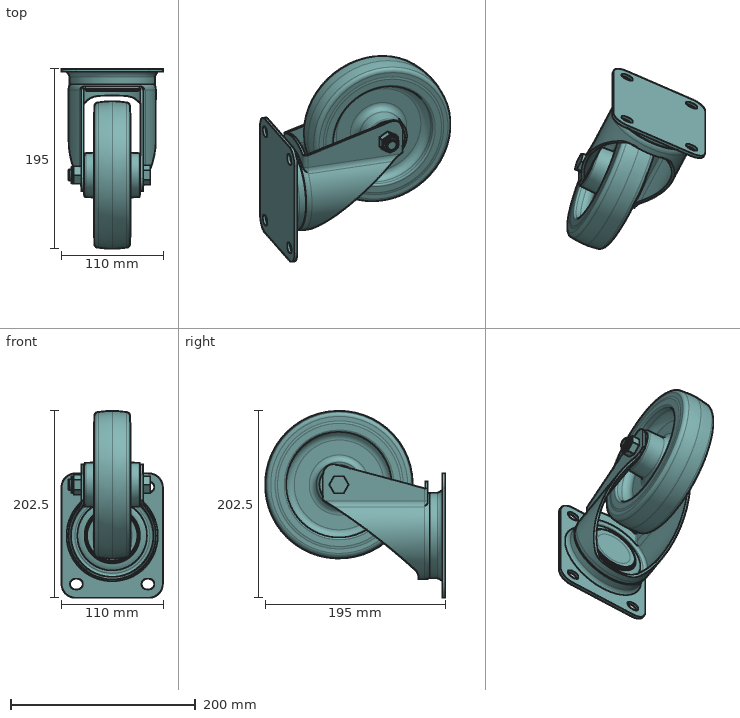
import cadquery as cq
import math


OVERALL_HEIGHT = 202.5

PLATE_WIDTH = 110.0
PLATE_HEIGHT = 134.9
PLATE_THICKNESS = 3.5
PLATE_CORNER_RADIUS = 15.5
SLOT_LENGTH = 13.5
SLOT_HEIGHT = 11.1
SLOT_SPACING_X = 77.3
SLOT_SPACING_Z = 104.9

HEAD_RADIUS = 46.4
FLARE_RADIUS = 49.5
FLARE_DEPTH = 8.7
FLARE_MIDDLE_RADIUS = 47.4
HEAD_DEPTH = 16.6
NECK_RADIUS = 45.4

CAP_FLANGE_RADIUS = 30.0
CAP_FLANGE_DEPTH = 22.3
CAP_SIDE_RADIUS = 28.8
CAP_RIM_RADIUS = 27.1
CAP_DISH_RADIUS = 21.3
CAP_SIDE_DEPTH = 23.5
CAP_RIM_DEPTH = 24.5
CAP_DISH_DEPTH = 23.9

SHEET = 2.8
FORK_RADIUS = 47.4
ARM_OUTER_X = 33.5
ARM_INNER_X = ARM_OUTER_X - SHEET
ARM_BEND_RADIUS = 4.0
ARM_BLEND_RADIUS = 10.0
CROWN_DEPTH = 18.8
CROWN_TOP_Z = 58.5
CROWN_CORNER_X = 29.4
BEAD_DEPTH = 17.0
BEAD_FOOT_RADIUS = 30.4
BEAD_START_RADIUS = 37.7
BEAD_OUTER_EDGE_RADIUS = 46.0
BEAD_INNER_EDGE_RADIUS = 40.5
BEAD_BEND_END_DEPTH = 22.7
FORK_BOTTOM_DEPTH = 29.2
LOWER_EDGE_MIDDLE = (-79.0, 1.6)
HEEL_START = (-34.0, -35.8)
HEEL_MIDDLE = (-30.5, -39.7)
HEEL_END_Z = -44.1
ARM_ROOT_Z = 51.0
ARM_TIP_DEPTH = 132.2
ARM_TOP_Z = 80.5
ARM_TIP_Z = 38.5
ARM_CORNER_RADIUS = 11.1
FORK_STOCK_DEPTH = 151.9
FORK_STOCK_TOP = 121.5

WHEEL_RADIUS = 80.0
WHEEL_DEPTH = 115.0
WHEEL_Z = OVERALL_HEIGHT - PLATE_HEIGHT / 2 - WHEEL_RADIUS
TREAD_SHOULDER_X = 15.0
TREAD_SHOULDER_RADIUS = 78.8
TREAD_EDGE_RADIUS = 74.1
TYRE_HALF_WIDTH = 19.5
TYRE_FACE_RADIUS = 69.2
RIM_HALF_WIDTH = 19.8
RIM_FACE_RADIUS = 66.6
RIM_LIP_RADIUS = 59.3
RIM_INNER_RADIUS = 57.0
WEB_HALF_WIDTH = 3.6
WEB_OUTER_RADIUS = 48.5
WEB_INNER_RADIUS = 32.4
HUB_ROOT_RADIUS = 24.7
HUB_END_RADIUS = 23.9
HUB_HALF_WIDTH = 30.0
HUB_EDGE_RADIUS = 1.2
BUSHING_RADIUS = 21.0

HEX_SIDES = 6
HEX_HALF_STEP = 180 / HEX_SIDES
HEAD_FLATS = 18.2
HEAD_END_X = 41.3
NUT_FLATS = 18.8
NUT_END_X = 41.7
COLLAR_RADIUS = 9.3
COLLAR_END_X = 44.3
COLLAR_CHAMFER = 1.0
THREAD_RADIUS = 6.0
THREAD_CHAMFER = 1.0
AXLE_END_X = 47.4

QUARTER_MIDDLE = math.sqrt(0.5)


def arc_middle(centre, across, along):
    """Middle of a quarter arc around a centre, with the given signed offsets to its two ends."""
    return centre[0] + across * QUARTER_MIDDLE, centre[1] + along * QUARTER_MIDDLE


def mounting_plate():
    plate = (
        cq.Workplane("XZ")
        .rect(PLATE_WIDTH, PLATE_HEIGHT)
        .extrude(PLATE_THICKNESS)
        .edges("|Y")
        .fillet(PLATE_CORNER_RADIUS)
    )
    slots = (
        cq.Workplane("XZ")
        .rect(SLOT_SPACING_X, SLOT_SPACING_Z, forConstruction=True)
        .vertices()
        .slot2D(SLOT_LENGTH, SLOT_HEIGHT)
        .extrude(PLATE_THICKNESS)
    )
    return plate.cut(slots)


def swivel_head():
    """Flared bearing head and the kingpin cap, one profile turned about the Y axis."""
    flare_middle = (FLARE_MIDDLE_RADIUS, -(PLATE_THICKNESS + FLARE_DEPTH) / 2)
    return (
        cq.Workplane("XY")
        .lineTo(FLARE_RADIUS, 0)
        .lineTo(FLARE_RADIUS, -PLATE_THICKNESS)
        .threePointArc(flare_middle, (HEAD_RADIUS, -FLARE_DEPTH))
        .lineTo(HEAD_RADIUS, -HEAD_DEPTH)
        .lineTo(NECK_RADIUS, -HEAD_DEPTH)
        .lineTo(NECK_RADIUS, -BEAD_DEPTH)
        .lineTo(CAP_FLANGE_RADIUS, -BEAD_DEPTH)
        .lineTo(CAP_FLANGE_RADIUS, -CAP_FLANGE_DEPTH)
        .lineTo(CAP_SIDE_RADIUS, -CAP_FLANGE_DEPTH)
        .lineTo(CAP_SIDE_RADIUS, -CAP_SIDE_DEPTH)
        .lineTo(CAP_RIM_RADIUS, -CAP_RIM_DEPTH)
        .lineTo(CAP_DISH_RADIUS, -CAP_DISH_DEPTH)
        .lineTo(0, -CAP_DISH_DEPTH)
        .close()
        .revolve(360, (0, 0, 0), (0, 1, 0))
    )


def fork_stock(inset, bead_edge_radius):
    """Solid bounded by one skin of the fork sheet: inset 0 is the outer skin, SHEET the inner one.

    bead_edge_radius is where the ring bead pressed into the crown starts to bend into the round wall.
    """
    radius = FORK_RADIUS - inset
    half_width = ARM_OUTER_X - inset
    crown_depth = CROWN_DEPTH + inset
    bead_depth = BEAD_DEPTH + inset
    arm_bend = ARM_BEND_RADIUS - inset
    top = FORK_STOCK_TOP + inset
    length = FORK_STOCK_DEPTH + inset

    plane = cq.Workplane("XZ", origin=(0, -crown_depth, 0))
    arms = plane.center(0, top / 2).rect(2 * half_width, top).extrude(length)
    body = plane.circle(radius).extrude(length).union(arms)
    meeting_z = math.sqrt(radius**2 - half_width**2)
    for side in (-1, 1):
        meeting_point = (side * half_width, -crown_depth - length / 2, meeting_z)
        meeting = cq.selectors.NearestToPointSelector(meeting_point)
        body = body.edges("|Y").edges(meeting).fillet(ARM_BLEND_RADIUS + inset)
    body = body.faces(">Y").edges().fillet(arm_bend)

    bead_side_middle = (
        (BEAD_FOOT_RADIUS + BEAD_START_RADIUS) / 2,
        -crown_depth + (crown_depth - bead_depth) / 4,
    )
    bead = (
        cq.Workplane("XY")
        .moveTo(0, -BEAD_BEND_END_DEPTH - SHEET)
        .lineTo(radius, -BEAD_BEND_END_DEPTH - SHEET)
        .lineTo(radius, -BEAD_BEND_END_DEPTH)
        .tangentArcPoint((bead_edge_radius, -bead_depth), relative=False)
        .lineTo(BEAD_START_RADIUS, -bead_depth)
        .threePointArc(bead_side_middle, (BEAD_FOOT_RADIUS, -crown_depth))
        .lineTo(0, -crown_depth)
        .close()
        .revolve(360, (0, 0, 0), (0, 1, 0))
    )
    return body.union(bead)


def fork_side_trim():
    """Side outline of the fork, drawn as (Y, Z) and extruded across its whole width."""
    crown_back = CROWN_DEPTH + SHEET
    outline = (
        cq.Workplane("YZ")
        .moveTo(-HEAD_DEPTH, -FORK_RADIUS)
        .lineTo(-HEAD_DEPTH, CROWN_TOP_Z)
        .lineTo(-crown_back, CROWN_TOP_Z)
        .lineTo(-crown_back, ARM_ROOT_Z)
        .lineTo(-ARM_TIP_DEPTH, ARM_TOP_Z)
        .lineTo(-ARM_TIP_DEPTH, ARM_TIP_Z)
        .threePointArc(LOWER_EDGE_MIDDLE, HEEL_START)
        .threePointArc(HEEL_MIDDLE, (-FORK_BOTTOM_DEPTH, HEEL_END_Z))
        .lineTo(-FORK_BOTTOM_DEPTH, -FORK_RADIUS)
        .close()
        .extrude(FORK_RADIUS, both=True)
    )
    tip = cq.selectors.NearestToPointSelector((0, -ARM_TIP_DEPTH, ARM_TOP_Z))
    return outline.edges("|X").edges(tip).fillet(ARM_CORNER_RADIUS)


def crown_top_waste():
    """Material above the arched top edge of the crown, as deep as the crown sheet."""
    return (
        cq.Workplane("XZ")
        .moveTo(-FORK_RADIUS, ARM_ROOT_Z)
        .lineTo(-CROWN_CORNER_X, ARM_ROOT_Z)
        .threePointArc((0, CROWN_TOP_Z), (CROWN_CORNER_X, ARM_ROOT_Z))
        .lineTo(FORK_RADIUS, ARM_ROOT_Z)
        .lineTo(FORK_RADIUS, FORK_STOCK_TOP)
        .lineTo(-FORK_RADIUS, FORK_STOCK_TOP)
        .close()
        .extrude(CROWN_DEPTH + SHEET)
    )


def fork():
    outer_skin = fork_stock(0, BEAD_OUTER_EDGE_RADIUS)
    inner_skin = fork_stock(SHEET, BEAD_INNER_EDGE_RADIUS)
    shell = outer_skin.cut(inner_skin)
    return shell.intersect(fork_side_trim()).cut(crown_top_waste())


def wheel_half(side):
    """One half of the wheel, turned about the axle; side is the sign of its X."""
    hub_fillet = WEB_INNER_RADIUS - HUB_ROOT_RADIUS
    rim_fillet = RIM_INNER_RADIUS - WEB_OUTER_RADIUS
    lip = RIM_LIP_RADIUS - RIM_INNER_RADIUS
    tread_rise = TREAD_SHOULDER_RADIUS - TREAD_EDGE_RADIUS
    tread_run = TYRE_HALF_WIDTH - TREAD_SHOULDER_X

    hub_edge_centre = (HUB_HALF_WIDTH - HUB_EDGE_RADIUS, HUB_END_RADIUS - HUB_EDGE_RADIUS)
    hub_centre = (WEB_HALF_WIDTH + hub_fillet, WEB_INNER_RADIUS)
    rim_centre = (WEB_HALF_WIDTH + rim_fillet, WEB_OUTER_RADIUS)
    lip_centre = (RIM_HALF_WIDTH - lip, RIM_LIP_RADIUS)
    tread_centre = (TREAD_SHOULDER_X, TREAD_EDGE_RADIUS)

    profile = (
        cq.Workplane("XY")
        .lineTo(ARM_INNER_X, 0)
        .lineTo(ARM_INNER_X, BUSHING_RADIUS)
        .lineTo(HUB_HALF_WIDTH, BUSHING_RADIUS)
        .lineTo(HUB_HALF_WIDTH, hub_edge_centre[1])
        .threePointArc(
            arc_middle(hub_edge_centre, HUB_EDGE_RADIUS, HUB_EDGE_RADIUS),
            (hub_edge_centre[0], HUB_END_RADIUS),
        )
        .lineTo(hub_centre[0], HUB_ROOT_RADIUS)
        .threePointArc(arc_middle(hub_centre, -hub_fillet, -hub_fillet), (WEB_HALF_WIDTH, WEB_INNER_RADIUS))
        .lineTo(WEB_HALF_WIDTH, WEB_OUTER_RADIUS)
        .threePointArc(arc_middle(rim_centre, -rim_fillet, rim_fillet), (rim_centre[0], RIM_INNER_RADIUS))
        .lineTo(lip_centre[0], RIM_INNER_RADIUS)
        .threePointArc(arc_middle(lip_centre, lip, -lip), (RIM_HALF_WIDTH, RIM_LIP_RADIUS))
        .lineTo(RIM_HALF_WIDTH, RIM_FACE_RADIUS)
        .lineTo(TYRE_HALF_WIDTH, TYRE_FACE_RADIUS)
        .lineTo(TYRE_HALF_WIDTH, TREAD_EDGE_RADIUS)
        .threePointArc(
            arc_middle(tread_centre, tread_run, tread_rise),
            (TREAD_SHOULDER_X, TREAD_SHOULDER_RADIUS),
        )
        .threePointArc(
            (TREAD_SHOULDER_X / 2, WHEEL_RADIUS - (WHEEL_RADIUS - TREAD_SHOULDER_RADIUS) / 4),
            (0, WHEEL_RADIUS),
        )
        .close()
    )
    half = profile.revolve(360, (0, 0, 0), (1, 0, 0))
    if side < 0:
        half = half.mirror("YZ")
    return half.translate((0, -WHEEL_DEPTH, WHEEL_Z))


def hex_outline(flats, turn):
    """Hexagon outline on the axle, of the given width across flats and turned by degrees about X."""
    corners = flats / math.cos(math.radians(HEX_HALF_STEP))
    return (
        cq.Workplane("YZ", origin=(0, -WHEEL_DEPTH, WHEEL_Z))
        .transformed(rotate=(0, 0, turn))
        .polygon(HEX_SIDES, corners)
    )


def axle_cylinder(radius, end_x):
    """Cylinder on the axle, from the middle of the wheel out to end_x."""
    return cq.Workplane("YZ", origin=(0, -WHEEL_DEPTH, WHEEL_Z)).circle(radius).extrude(end_x)


def axle_bolt():
    """Bolt head on +X, corners along Y; lock nut with collar and thread end on -X, corners along Z."""
    head = hex_outline(HEAD_FLATS, 0).extrude(HEAD_END_X)
    nut = hex_outline(NUT_FLATS, HEX_HALF_STEP).extrude(-NUT_END_X)
    collar = axle_cylinder(COLLAR_RADIUS, -COLLAR_END_X)
    collar = collar.faces("<X").edges().chamfer(COLLAR_CHAMFER)
    thread = axle_cylinder(THREAD_RADIUS, -AXLE_END_X)
    thread = thread.faces("<X").edges().chamfer(THREAD_CHAMFER)
    return head.union(nut).union(collar).union(thread)


result = mounting_plate().union(swivel_head()).union(fork())
for side in (-1, 1):
    result = result.union(wheel_half(side))
result = result.union(axle_bolt())